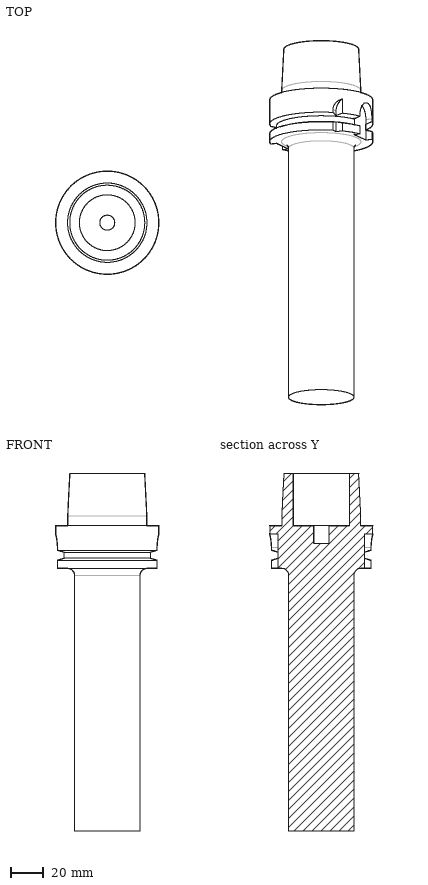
import cadquery as cq
import math

total_length = 218.0
taper_end_z = 192.0
flange_top_z = 186.2
groove_top_z = 171.1
groove_bottom_z = 165.0
groove_flank_height = 1.3
flange_bottom_z = 160.0

shank_radius = 20.0
shank_fillet = 4.1
flange_diameter = 63.0
flange_radius = flange_diameter / 2
groove_radius = 27.5
collar_radius = 24.2
taper_tip_radius = 22.9

bore_radius = 17.0
bore_depth = total_length - flange_top_z
pilot_radius = 4.5
pilot_depth = 11.0

slot_half_width = 8.0
slot_arch_z = 172.9
slot_floor_distance = 26.4
notch_corner = 20.0
cut_reach = 21.8


def make_body():
    """Shank, grooved flange and tapered end as one turned profile."""
    fillet_start_z = flange_bottom_z - shank_fillet
    fillet_mid_offset = shank_fillet * (1 - math.sqrt(0.5))
    fillet_mid = (shank_radius + fillet_mid_offset, flange_bottom_z - fillet_mid_offset)
    return (
        cq.Workplane("XZ")
        .moveTo(0, 0)
        .lineTo(shank_radius, 0)
        .lineTo(shank_radius, fillet_start_z)
        .threePointArc(fillet_mid, (shank_radius + shank_fillet, flange_bottom_z))
        .lineTo(flange_radius, flange_bottom_z)
        .lineTo(flange_radius, groove_bottom_z)
        .lineTo(groove_radius, groove_bottom_z + groove_flank_height)
        .lineTo(groove_radius, groove_top_z - groove_flank_height)
        .lineTo(flange_radius, groove_top_z)
        .lineTo(flange_radius, flange_top_z)
        .lineTo(collar_radius, flange_top_z)
        .lineTo(collar_radius, taper_end_z)
        .lineTo(taper_tip_radius, total_length)
        .lineTo(0, total_length)
        .close()
        .revolve(360, (0, 0, 0), (0, 1, 0))
    )


def make_slot_cutter(center_x, floor_y):
    """Slot cut toward +Y from its floor, open at the bottom of the flange."""
    return (
        cq.Workplane("XZ", origin=(0, floor_y, 0))
        .moveTo(center_x - slot_half_width, flange_bottom_z)
        .lineTo(center_x + slot_half_width, flange_bottom_z)
        .lineTo(center_x + slot_half_width, slot_arch_z)
        .threePointArc(
            (center_x, slot_arch_z + slot_half_width),
            (center_x - slot_half_width, slot_arch_z),
        )
        .close()
        .extrude(-cut_reach)
    )


def make_bore_cutter():
    """Wide bore followed by the narrow blind hole."""
    bore_floor_z = total_length - bore_depth
    bore = cq.Workplane("XY", origin=(0, 0, bore_floor_z)).circle(bore_radius).extrude(bore_depth)
    pilot = cq.Workplane("XY", origin=(0, 0, bore_floor_z)).circle(pilot_radius).extrude(-pilot_depth)
    return bore.union(pilot)


result = make_body().cut(make_bore_cutter())

for angle in (90, -90):
    drive_slot = make_slot_cutter(0, slot_floor_distance)
    result = result.cut(drive_slot.rotate((0, 0, 0), (0, 0, 1), angle))

result = result.cut(make_slot_cutter(-notch_corner - slot_half_width, notch_corner))